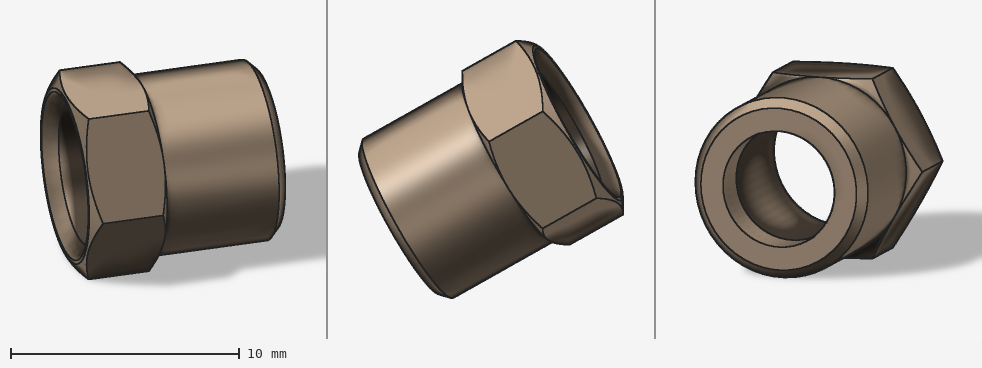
import cadquery as cq
import math

CORNER_DIAMETER = 9.24
FLATS_WIDTH = CORNER_DIAMETER * math.cos(math.radians(30))
LENGTH = 9.0
HEX_LENGTH = 3.51

BODY_RADIUS = FLATS_WIDTH / 2
BODY_CHAMFER = 0.4

TRIM_ANGLE = 30.0
FRONT_FACE_RADIUS = 3.89

COUNTERSINK_RADIUS = 3.72
COUNTERSINK_DEPTH = 0.6
BORE_RADIUS = 3.12
BORE_DEPTH = 7.0
THROUGH_RADIUS = 2.58
LIP_ROUND = 0.29


def revolve_about_y(profile):
    """Turn a closed (radius, Y) profile around the part's axis."""
    return profile.close().revolve(360, (0, 0, 0), (0, 1, 0))


def trimmed_hexagon():
    """Hexagonal prism with its corners turned to cones at both ends."""
    prism = (
        cq.Workplane("XZ")
        .polygon(6, CORNER_DIAMETER)
        .extrude(-HEX_LENGTH)
    )
    corner_radius = CORNER_DIAMETER / 2
    slope = math.tan(math.radians(TRIM_ANGLE))
    front_drop = (corner_radius - FRONT_FACE_RADIUS) * slope
    rear_drop = (corner_radius - BODY_RADIUS) * slope
    envelope = revolve_about_y(
        cq.Workplane("XY")
        .moveTo(0, 0)
        .lineTo(FRONT_FACE_RADIUS, 0)
        .lineTo(corner_radius, front_drop)
        .lineTo(corner_radius, HEX_LENGTH - rear_drop)
        .lineTo(BODY_RADIUS, HEX_LENGTH)
        .lineTo(0, HEX_LENGTH)
    )
    return prism.intersect(envelope)


def body():
    """Round body with a chamfered rear rim."""
    return (
        cq.Workplane("XZ", origin=(0, HEX_LENGTH, 0))
        .circle(BODY_RADIUS)
        .extrude(HEX_LENGTH - LENGTH)
        .faces(">Y")
        .chamfer(BODY_CHAMFER)
    )


def stepped_bore():
    """Countersunk bore ending at a flat lip whose inner edge is rounded."""
    round_start = THROUGH_RADIUS + LIP_ROUND
    return revolve_about_y(
        cq.Workplane("XY")
        .moveTo(0, 0)
        .lineTo(COUNTERSINK_RADIUS, 0)
        .lineTo(BORE_RADIUS, COUNTERSINK_DEPTH)
        .lineTo(BORE_RADIUS, BORE_DEPTH)
        .lineTo(round_start, BORE_DEPTH)
        .radiusArc((THROUGH_RADIUS, BORE_DEPTH + LIP_ROUND), LIP_ROUND)
        .lineTo(THROUGH_RADIUS, LENGTH)
        .lineTo(0, LENGTH)
    )


result = trimmed_hexagon().union(body()).cut(stepped_bore())